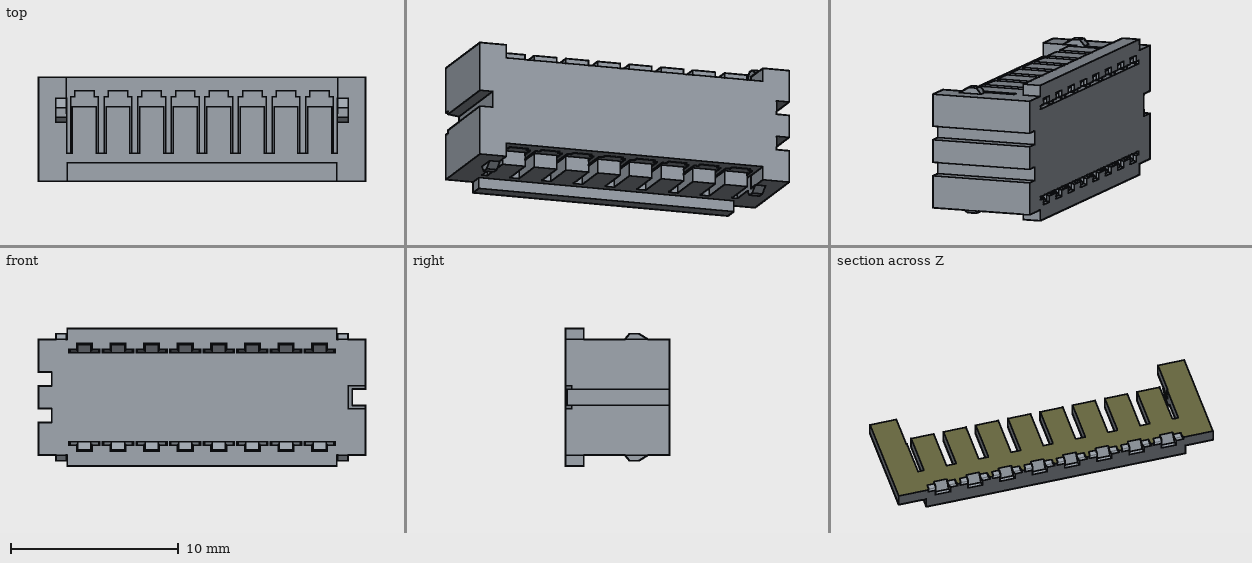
import cadquery as cq

length = 19.5
depth = 6.2
total_height = 8.2
body_height = 6.88
body_top = body_height / 2
left_end = -length / 2
right_end = length / 2

rail_length = 16.07
rail_depth = 1.1

contact_count = 8
row_span = 14.0
contact_pitch = row_span / (contact_count - 1)
contact_centers = [-row_span / 2 + i * contact_pitch for i in range(contact_count)]

ledge_z = 2.63
ledge_length = 16.18
bar_zone_length = 16.1
ledge_depth = 2.15
bar_width = 1.42
bar_back_y = depth - 1.77
gap_front_y = depth - 4.52

recess_drop = 0.04
recess_width = 1.65
recess_back_y = depth - 1.17
tip_width = 1.15
tip_back_y = depth - 0.82

lead_in_z = 2.65
lead_in_depth = 0.62
mouth_inset = 0.08
mouth_depth = 0.15
lead_in_sizes = [(1.85, 0.2), (0.94, 0.57)]

bump_outer_x = length / 2 - 1.05
bump_height = 0.35
bump_length = bump_outer_x - bar_zone_length / 2
bump_base_y = (depth - 2.67, depth - 1.27)
bump_crest_y = (depth - 2.38, depth - 1.83)

left_slot_depth = 0.8
left_slot_height = 0.82
left_slot_offset = 1.1
key_slot_depth = 0.8
key_slot_height = 0.98
key_recess_length = 1.05
key_recess_height = 1.35
key_recess_depth = 0.39


def box(x_range, y_range, z_range):
    """Axis-aligned box between the given limits."""
    (x0, x1), (y0, y1), (z0, z1) = x_range, y_range, z_range
    return cq.Workplane("XY").box(x1 - x0, y1 - y0, z1 - z0, centered=False).translate((x0, y0, z0))


def centered_box(center_x, width, y_range, z_range):
    """Box of a given width about center_x."""
    return box((center_x - width / 2, center_x + width / 2), y_range, z_range)


def block():
    """Main body with the full-height rail along its front edge."""
    body = centered_box(0, length, (0, depth), (-body_top, body_top))
    rails = centered_box(0, rail_length, (0, rail_depth), (-total_height / 2, total_height / 2))
    return body.union(rails)


def bump():
    """Upper latch bump at the right end: a ridge with two sloped flanks."""
    profile = [
        (bump_base_y[0], body_top),
        (bump_crest_y[0], body_top + bump_height),
        (bump_crest_y[1], body_top + bump_height),
        (bump_base_y[1], body_top),
    ]
    ridge = cq.Workplane("YZ").polyline(profile).close().extrude(bump_length)
    return ridge.translate((bump_outer_x - bump_length, 0, 0))


def contact_relief():
    """Material removed from the top: ledge, gaps between bars and stepped recesses."""
    above_ledge = (ledge_z, body_top + bump_height)
    recess_zone = (ledge_z - recess_drop, ledge_z)
    relief = centered_box(0, ledge_length, (depth - ledge_depth, depth), above_ledge)
    relief = relief.union(centered_box(0, bar_zone_length, (gap_front_y, depth), above_ledge))
    for x in contact_centers:
        relief = relief.union(centered_box(x, recess_width, (gap_front_y, recess_back_y), recess_zone))
        relief = relief.union(centered_box(x, tip_width, (recess_back_y, tip_back_y), recess_zone))
    for x in contact_centers:
        bar = centered_box(x, bar_width, (gap_front_y, bar_back_y), (ledge_z - recess_drop, above_ledge[1]))
        relief = relief.cut(bar)
    return relief


def lead_in(center_x, width, height):
    """Blind opening with a tapered mouth and a roof sloping down to its floor."""
    throat_width = width - 2 * mouth_inset
    throat_height = height - mouth_inset
    mouth = (
        cq.Workplane("XZ", origin=(center_x, 0, lead_in_z))
        .center(0, height / 2)
        .rect(width, height)
        .workplane(offset=-mouth_depth)
        .center(0, -mouth_inset / 2)
        .rect(throat_width, throat_height)
        .loft(ruled=True)
    )
    wedge_profile = [
        (mouth_depth, lead_in_z),
        (mouth_depth, lead_in_z + throat_height),
        (lead_in_depth, lead_in_z),
    ]
    wedge = cq.Workplane("YZ").polyline(wedge_profile).close().extrude(throat_width)
    return mouth.union(wedge.translate((center_x - throat_width / 2, 0, 0)))


def lead_ins():
    """Row of T-shaped openings: a wide low slot joined to a narrow tall one."""
    openings = cq.Workplane("XY")
    for x in contact_centers:
        for width, height in lead_in_sizes:
            openings = openings.union(lead_in(x, width, height))
    return openings


def end_slots():
    """Two slots through the left end and a key slot with a ramped front recess through the right end."""
    through = (0, depth)
    slots = cq.Workplane("XY")
    for z in (-left_slot_offset, left_slot_offset):
        z_range = (z - left_slot_height / 2, z + left_slot_height / 2)
        slots = slots.union(box((left_end, left_end + left_slot_depth), through, z_range))
    key_slot = box(
        (right_end - key_slot_depth, right_end), through, (-key_slot_height / 2, key_slot_height / 2)
    )
    key_ramp = [
        (right_end - key_recess_length, 0),
        (right_end, 0),
        (right_end, key_recess_depth),
    ]
    key_recess = cq.Workplane("XY").polyline(key_ramp).close().extrude(key_recess_height / 2, both=True)
    return slots.union(key_slot).union(key_recess)


upper_bumps = bump().union(bump().mirror("YZ"))
upper_cuts = contact_relief().union(lead_ins())

result = block().cut(upper_cuts).cut(upper_cuts.mirror("XY"))
result = result.union(upper_bumps).union(upper_bumps.mirror("XY"))
result = result.cut(end_slots())